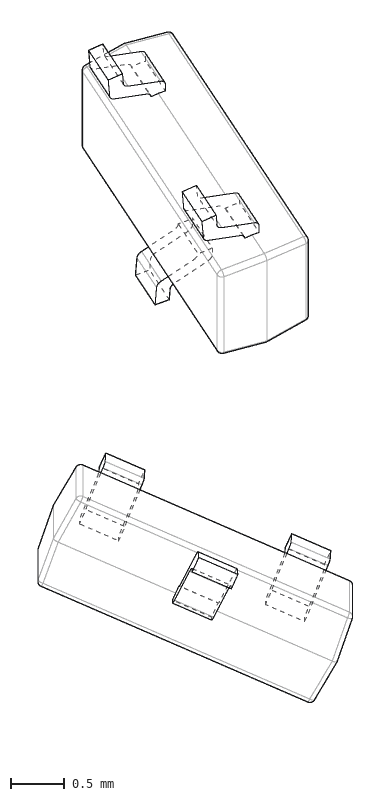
import cadquery as cq
import math

BODY_LENGTH = 2.9
BODY_HEIGHT = 1.3
BODY_DEPTH = 0.95
DRAFT_ANGLE = 5.0
BODY_FILLET = 0.05

LEAD_WIDTH = 0.4
LEAD_THICKNESS = 0.15
LEAD_PITCH = 1.9
LEAD_SPAN = 2.32
STANDOFF = 0.05
LEAD_ROOT = 0.3
KNEE_Z = 0.745
SLOPE_ANGLE = 20.0
FOOT_ANGLE = 3.5
BEND_RADIUS = 0.075


def make_half_body():
    """Half on the -Y side, rounded everywhere except along the parting line."""
    half = (
        cq.Workplane("XZ")
        .rect(BODY_LENGTH, BODY_HEIGHT)
        .extrude(BODY_DEPTH / 2, taper=DRAFT_ANGLE)
    )
    return half.edges("not >Y").fillet(BODY_FILLET)


def make_body():
    half = make_half_body()
    return half.union(half.mirror("XZ"))


def heel_corner(knee, tip):
    """(Y, Z) where the slope line through a knee corner crosses the foot line through a tip."""
    knee_y, knee_z = knee
    tip_y, tip_z = tip
    slope_rise = math.tan(math.radians(SLOPE_ANGLE))
    foot_lean = math.tan(math.radians(FOOT_ANGLE))
    height_over_slope = tip_z - knee_z - slope_rise * (knee_y - tip_y)
    foot_height = height_over_slope / (1 - slope_rise * foot_lean)
    return tip_y + foot_lean * foot_height, tip_z - foot_height


def round_bends(strip, x_center, corners):
    """Round the X-parallel edges of a lead at the given (Y, Z) corners."""
    for y, z in corners:
        strip = strip.edges(cq.NearestToPointSelector((x_center, y, z))).fillet(BEND_RADIUS)
    return strip


def make_lead(x_center):
    """Lead on the +Z side: straight root, sloping run and tilted foot."""
    slope = math.radians(SLOPE_ANGLE)
    foot = math.radians(FOOT_ANGLE)
    half_thickness = LEAD_THICKNESS / 2

    sole_tip_y = -BODY_DEPTH / 2 - STANDOFF
    inner_tip_y = sole_tip_y + LEAD_THICKNESS * math.cos(foot)
    inner_tip_z = LEAD_SPAN / 2
    inner_tip = (inner_tip_y, inner_tip_z)
    sole_tip = (sole_tip_y, inner_tip_z - LEAD_THICKNESS * math.sin(foot))

    knee_offset = half_thickness * math.tan((math.pi / 2 - slope) / 2)
    outer_knee = (half_thickness, KNEE_Z + knee_offset)
    inner_knee = (-half_thickness, KNEE_Z - knee_offset)

    inner_heel = heel_corner(outer_knee, inner_tip)
    sole_heel = heel_corner(inner_knee, sole_tip)

    outline = [
        (half_thickness, LEAD_ROOT),
        outer_knee,
        inner_heel,
        inner_tip,
        sole_tip,
        sole_heel,
        inner_knee,
        (-half_thickness, LEAD_ROOT),
    ]
    strip = (
        cq.Workplane("YZ", origin=(x_center - LEAD_WIDTH / 2, 0, 0))
        .polyline(outline)
        .close()
        .extrude(LEAD_WIDTH)
    )
    return round_bends(strip, x_center, [outer_knee, inner_knee, inner_heel, sole_heel])


body = make_body()
outer_leads = [make_lead(side * LEAD_PITCH / 2) for side in (-1, 1)]
opposite_lead = make_lead(0).mirror("XY")

result = body.union(opposite_lead)
for lead in outer_leads:
    result = result.union(lead)